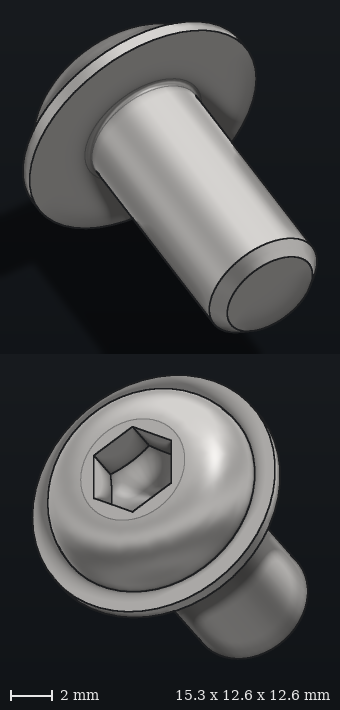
import cadquery as cq
import math

total_length = 15.3
head_height = 3.3
flange_diameter = 12.6
flange_thickness = 0.66
dome_diameter = 10.5
face_diameter = 5.4
shank_diameter = 6.0
tip_chamfer = 0.63
neck_fillet = 0.25

socket_across_flats = 4.01
socket_depth = 2.08
floor_cone_angle = 120.0

flange_radius = flange_diameter / 2
dome_radius = dome_diameter / 2
face_radius = face_diameter / 2
shank_radius = shank_diameter / 2
flange_front = head_height - flange_thickness
dome_arc_radius = dome_radius - face_radius
socket_corner_radius = socket_across_flats / math.sqrt(3)


def screw_body():
    """Revolve the half profile about the X axis."""
    diagonal = dome_arc_radius * math.sqrt(0.5)
    dome_middle = (dome_arc_radius - diagonal, face_radius + diagonal)
    outline = (
        cq.Workplane("XY")
        .lineTo(0, face_radius)
        .threePointArc(dome_middle, (dome_arc_radius, dome_radius))
        .lineTo(flange_front, dome_radius)
        .lineTo(flange_front, flange_radius)
        .lineTo(head_height, flange_radius)
        .lineTo(head_height, shank_radius + neck_fillet)
        .radiusArc((head_height + neck_fillet, shank_radius), -neck_fillet)
        .lineTo(total_length - tip_chamfer, shank_radius)
        .lineTo(total_length, shank_radius - tip_chamfer)
        .lineTo(total_length, 0)
        .close()
    )
    return outline.revolve(360, (0, 0, 0), (1, 0, 0))


def socket():
    """Hexagonal prism with corners on the Z axis, ended by a cone through its corners."""
    cone_depth = socket_corner_radius / math.tan(math.radians(floor_cone_angle / 2))
    full_depth = socket_depth + cone_depth
    prism = (
        cq.Workplane("YZ")
        .polygon(6, 2 * socket_corner_radius)
        .extrude(full_depth)
        .rotate((0, 0, 0), (1, 0, 0), 90)
    )
    pointed_rod = (
        cq.Workplane("XY")
        .lineTo(0, socket_corner_radius)
        .lineTo(socket_depth, socket_corner_radius)
        .lineTo(full_depth, 0)
        .close()
        .revolve(360, (0, 0, 0), (1, 0, 0))
    )
    return prism.intersect(pointed_rod)


result = screw_body().cut(socket())